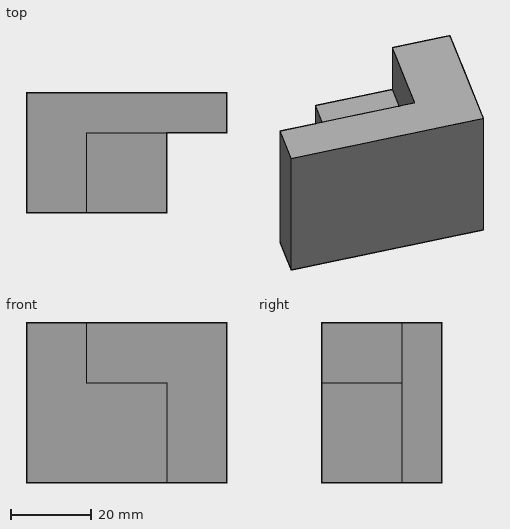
import cadquery as cq

length = 50
depth = 30
height = 40

plate_thickness = 10
column_width = 15
block_length = 35
step_height = 25

front_depth = depth - plate_thickness


def corner_box(size_x, size_y, size_z):
    """Box with its minimum corner at the origin."""
    return cq.Workplane("XY").box(size_x, size_y, size_z, centered=False)


back_plate = corner_box(length, plate_thickness, height).translate((0, front_depth, 0))

column = corner_box(column_width, depth, height)
step = corner_box(block_length, depth, step_height)

result = back_plate.union(column).union(step).clean()